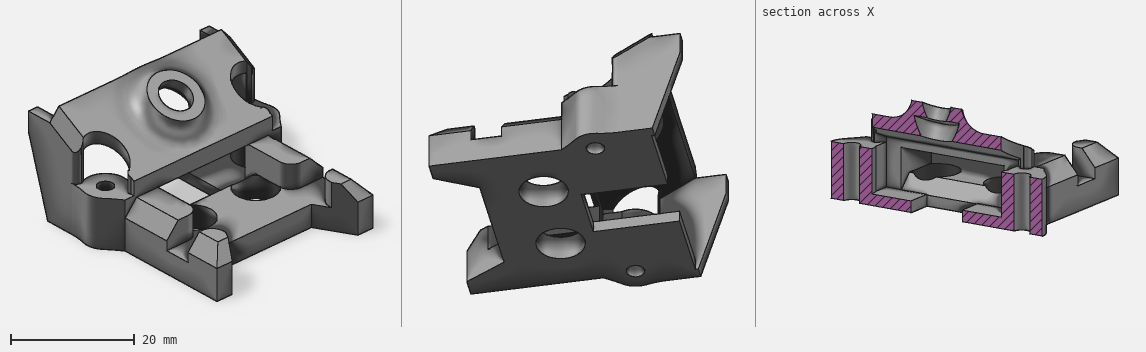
import cadquery as cq
import math

length = 42.0
height = 22.05
floor_start = 5.1
wall_front = 19.3
wall_back = 20.1
rail_end = 30.05
lug_start = 35.05

body_half_width = 17.2
window_half_width = 10.0
cheek_half_width = 19.95
cheek_thickness = 2.0
cheek_inner = cheek_half_width - cheek_thickness

floor_thickness = 2.0
deck_top = 4.35
rail_top = 9.1
boss_top = 9.6

tilt = 30.0
tilt_sin = math.sin(math.radians(tilt))
tilt_cos = math.cos(math.radians(tilt))
panel_thickness = 2.0
collar_radius = 5.0
collar_height = 3.0
flare_radius = 5.0
collar_hole_diameter = 6.0
counterbore_diameter = 10.0
counterbore_depth = 2.8
collar_base_x = 11.15
collar_total_height = panel_thickness + collar_height
collar_base_z = height - collar_total_height * tilt_cos - collar_radius * tilt_sin

boss_x = 14.65
boss_y = 16.5
boss_radius = 4.0
screw_hole_diameter = 3.0
wall_side_angle = 47.5
gusset_inner_y = 12.8
post_corner = (17.8, 14.2)
post_side = 15.3
post_nose_radius = 0.85
post_nose = (19.05, 14.55)

cheek_end = 10.35
cheek_overlap = 0.4
cheek_round_radius = 1.05
cheek_foot_x = 4.58
cheek_front_bottom = 14.83

floor_gap_half_width = 4.95
deck_slope_start_z = 1.9
deck_hole_diameter = 8.0
deck_hole_x = 25.1
deck_hole_y = 6.97
lug_tip_inner = 13.85
lug_inner = 11.68
corner_radius = 2.48
bevel_height = 2.9
bevel_width = 2.5
rear_rail_bevel_width = 2.9


def block(x0, x1, y0, y1, z0, z1):
    return cq.Workplane("XY").box(x1 - x0, y1 - y0, z1 - z0, centered=False).translate((x0, y0, z0))


def prism(points, z0, z1):
    return cq.Workplane("XY").workplane(offset=z0).polyline(points).close().extrude(z1 - z0)


def cylinder(x, y, radius, z0, z1):
    return cq.Workplane("XY").workplane(offset=z0).center(x, y).circle(radius).extrude(z1 - z0)


def mirrored(half):
    return half.union(half.mirror("XZ"))


def underside(x):
    """Height of the panel underside above the base."""
    return collar_base_z - (x - collar_base_x) * math.tan(math.radians(tilt))


def tilt_into_place(body):
    turned = body.rotate((0, 0, 0), (0, 1, 0), tilt)
    return turned.translate((collar_base_x, 0, collar_base_z))


def make_panel():
    plate = (
        cq.Workplane("YZ")
        .polyline([
            (-cheek_half_width, 0),
            (cheek_half_width, 0),
            (cheek_inner, panel_thickness),
            (-cheek_inner, panel_thickness),
        ])
        .close()
        .extrude(length / 2, both=True)
    )
    rim_angle = math.acos(1 - collar_height / flare_radius)
    flare_outer = collar_radius + flare_radius * math.sin(rim_angle)
    flare_mid = (
        flare_outer - flare_radius * math.sin(rim_angle / 2),
        panel_thickness + flare_radius * (1 - math.cos(rim_angle / 2)),
    )
    collar = (
        cq.Workplane("XZ")
        .lineTo(flare_outer, 0)
        .lineTo(flare_outer, panel_thickness)
        .threePointArc(flare_mid, (collar_radius, collar_total_height))
        .lineTo(0, collar_total_height)
        .close()
        .revolve(360, (0, 0), (0, 1))
    )
    panel = tilt_into_place(plate.union(collar))
    return panel.intersect(block(floor_start, wall_back, -length, length, 0, length))


def make_collar_bore():
    bore = cylinder(0, 0, collar_hole_diameter / 2, 0, collar_total_height)
    counterbore = cylinder(0, 0, counterbore_diameter / 2, -counterbore_depth, counterbore_depth)
    return tilt_into_place(bore.union(counterbore))


def make_cheek():
    cheek_back = cheek_end + cheek_round_radius
    plate = (
        cq.Workplane("XZ", origin=(0, cheek_half_width, 0))
        .polyline([
            (cheek_foot_x, 0),
            (cheek_back, 0),
            (cheek_back, underside(cheek_back)),
            (floor_start, underside(floor_start)),
            (0, underside(floor_start)),
            (0, cheek_front_bottom),
        ])
        .close()
        .extrude(cheek_thickness)
    )
    return plate.cut(make_boss_clearance())


def below_panel(body):
    """Trim a body that reaches up to the panel so it stays under the panel's top face."""
    limit = tilt_into_place(block(-length, length, -length, length, -2 * length, panel_thickness))
    return body.intersect(limit)


def make_wall():
    wall = block(wall_front, wall_back, 0, body_half_width, 0, height)
    post_top = post_nose[1] + post_nose_radius
    post_end = (post_corner[0], post_top)
    gusset = prism(
        [
            (wall_back, gusset_inner_y),
            (wall_front, gusset_inner_y),
            post_corner,
            post_end,
            (wall_back, post_top),
        ],
        0,
        height,
    )
    return below_panel(wall.union(gusset))


def boss_point(angle):
    return (boss_x + boss_radius * math.cos(angle), boss_y + boss_radius * math.sin(angle))


def make_boss():
    """Round boss blended into the cheek and the wall by concave arcs."""
    run = boss_x - cheek_end
    rise = cheek_half_width - boss_y
    blend_radius = (run**2 + rise**2 - boss_radius**2) / (2 * (boss_radius - rise))
    cheek_side_angle = math.atan2(rise + blend_radius, -run)
    web = (
        cq.Workplane("XY")
        .moveTo(cheek_end - cheek_overlap, cheek_inner)
        .lineTo(cheek_end - cheek_overlap, cheek_half_width)
        .lineTo(cheek_end, cheek_half_width)
        .tangentArcPoint(boss_point(cheek_side_angle), relative=False)
        .tangentArcPoint(boss_point(math.radians(wall_side_angle)), relative=False)
        .tangentArcPoint((wall_back, body_half_width), relative=False)
        .lineTo(wall_back, gusset_inner_y)
        .lineTo(boss_x, gusset_inner_y)
        .lineTo(boss_x, cheek_inner)
        .close()
        .extrude(boss_top)
    )
    return web.union(cylinder(boss_x, boss_y, boss_radius, 0, boss_top))


def make_boss_clearance():
    """Space above a boss, open to the side, leaving the rounded cheek end and wall post."""
    space = cylinder(boss_x, boss_y, boss_radius, boss_top, height)
    space = space.union(block(boss_x, wall_back, post_side, length, boss_top, height))
    space = space.union(block(boss_x, post_nose[0], post_nose[1], length, boss_top, height))
    round_y = cheek_half_width - cheek_round_radius
    space = space.union(block(cheek_end, boss_x, round_y, length, boss_top, height))
    space = space.cut(cylinder(cheek_end, round_y, cheek_round_radius, boss_top, height))
    return space.cut(cylinder(*post_nose, post_nose_radius, boss_top, height))


def deck_outline(z1):
    return prism(
        [
            (wall_front, 0),
            (lug_start, 0),
            (lug_start, window_half_width),
            (length, lug_tip_inner),
            (length, body_half_width),
            (wall_front, body_half_width),
        ],
        0,
        z1,
    )


def make_deck():
    deck = deck_outline(deck_top)
    slope_run = deck_top - deck_slope_start_z
    slope = (
        cq.Workplane("XZ")
        .polyline([
            (wall_front, deck_slope_start_z),
            (wall_front, deck_top),
            (wall_front + slope_run, deck_top),
        ])
        .close()
        .extrude(-window_half_width)
    )
    hole = cylinder(deck_hole_x, deck_hole_y, deck_hole_diameter / 2, 0, deck_top)
    return deck.cut(slope).cut(hole)


def bevel_side(body, width):
    """Cut the sloping bevel along the outer top edge of a rail or lug."""
    wedge = (
        cq.Workplane("YZ")
        .polyline([
            (body_half_width, rail_top - bevel_height),
            (body_half_width, rail_top),
            (body_half_width - width, rail_top),
        ])
        .close()
        .extrude(length)
    )
    return body.cut(wedge)


def make_rail(width):
    rail = block(wall_back, rail_end, window_half_width, body_half_width, deck_top, rail_top)
    rail = rail.edges("|Z and >X and <Y").fillet(corner_radius)
    return bevel_side(rail, width)


def make_lug():
    pillar = block(lug_start, length, lug_inner, body_half_width, deck_top, rail_top)
    pillar = pillar.edges("|Z and <X and <Y").fillet(corner_radius)
    pillar = pillar.intersect(deck_outline(rail_top))
    end_wedge = (
        cq.Workplane("XZ")
        .polyline([
            (length, rail_top - bevel_height),
            (length, rail_top),
            (length - bevel_width, rail_top),
        ])
        .close()
        .extrude(-length)
    )
    return bevel_side(pillar.cut(end_wedge), bevel_width)


upper = mirrored(make_wall()).union(make_panel())
upper = upper.cut(
    block(wall_front, wall_back, -window_half_width, window_half_width, 0, rail_top)
)
upper = upper.cut(mirrored(make_boss_clearance())).cut(make_collar_bore())

floor = block(floor_start, boss_x, floor_gap_half_width, cheek_inner, 0, floor_thickness)
floor = floor.union(block(boss_x, wall_front, floor_gap_half_width, boss_y, 0, floor_thickness))
side = make_deck().union(floor).union(make_cheek()).union(make_boss()).union(make_lug())

result = upper.union(mirrored(side))
result = result.union(make_rail(bevel_width).mirror("XZ")).union(make_rail(rear_rail_bevel_width))
for side_sign in (-1, 1):
    result = result.cut(cylinder(boss_x, side_sign * boss_y, screw_hole_diameter / 2, 0, height))